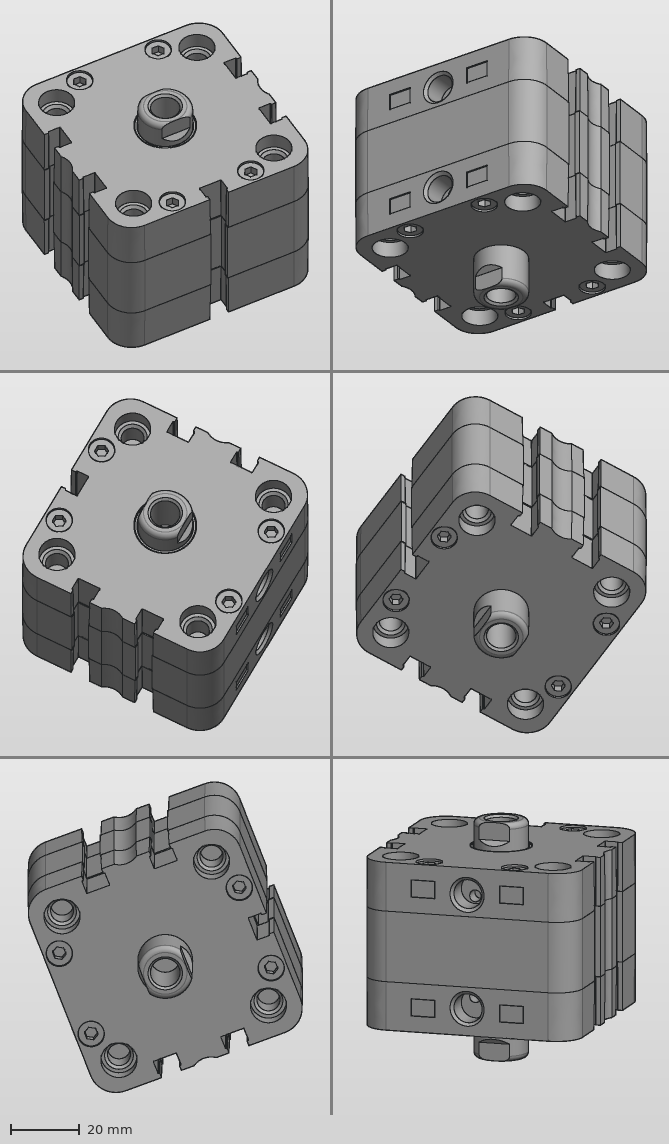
import cadquery as cq
import math


body_width = 65.5
body_length = 50.0
corner_radius = 8.0
cap_length = 14.5
cap_draft = 0.5
barrel_draft = 0.0
barrel_length = body_length - 2 * cap_length
bore_diameter = 50.0
half_width = body_width / 2

slot_offset = 10.5
lip_chamfer = 0.3
slot_overrun = 1.0
barrel_slot = {"opening": 5.5, "inner": 6.8, "depth": 5.1, "lip": 1.6}
cap_slot = {"opening": 5.9, "inner": 6.9, "depth": 5.45, "lip": 1.5}

scoop_half_width = 3.4
scoop_depth = 1.1
scoop_radius = (scoop_half_width ** 2 + scoop_depth ** 2) / (2 * scoop_depth)

mount_pitch = 46.5
mount_counterbore = 10.5
mount_counterbore_depth = 5.0
mount_chamfer_diameter = 8.38
mount_thread_diameter = 6.65
mount_hole_depth = 13.0

screw_pitch_x = 56.0
screw_pitch_y = 26.0
screw_hole_diameter = 7.7
screw_head_diameter = 7.5
screw_head_height = 4.0
screw_recess = 0.6
screw_hex_flats = 3.5
screw_hex_depth = 2.5

port_height = 8.0
port_chamfer_diameter = 10.5
port_diameter = 8.57
port_depth = 8.0
passage_diameter = 3.5
passage_height = 10.0
passage_depth = 5.0

label_width = 7.2
label_height = 5.1
label_depth = 0.5
label_offset = 13.5
label_centre_height = 7.3

rod_diameter = 16.0
rod_upper_overhang = 8.0
rod_lower_overhang = 13.0
rod_length = body_length + rod_upper_overhang + rod_lower_overhang
rod_edge_radius = 1.7
rod_flats = 13.0
rod_flat_length = 5.3
rod_thread_diameter = 8.57
rod_thread_chamfer_diameter = 10.0
rod_thread_depth = 16.0

seal_diameter = 18.0
seal_pocket_mouth = 18.3
seal_rim_diameter = 17.7
seal_lip_diameter = 16.54
seal_recess = 0.3
seal_length = 3.0


def chamfered_bore(mouth_diameter, diameter, depth):
    """Cutter that enters downwards at the origin: a 45 degree mouth, then a blind round hole."""
    mouth_depth = (mouth_diameter - diameter) / 2
    return (
        cq.Workplane("XZ")
        .moveTo(0, 0)
        .lineTo(mouth_diameter / 2, 0)
        .lineTo(diameter / 2, -mouth_depth)
        .lineTo(diameter / 2, -depth)
        .lineTo(0, -depth)
        .close()
        .revolve(360, (0, 0), (0, 1))
    )


def slot_cutter(slot, length, draft):
    """T-slot that opens towards -Y at Y = 0, runs along +Z and widens by the draft angle."""
    half_opening = slot["opening"] / 2
    half_inner = slot["inner"] / 2
    chamfer_end = slot["lip"] + lip_chamfer
    right_side = [
        (half_opening, 0),
        (half_opening, slot["lip"]),
        (half_opening + lip_chamfer, chamfer_end),
        (half_inner, chamfer_end),
        (half_inner, slot["depth"]),
    ]
    left_side = [(-x, y) for x, y in reversed(right_side)]
    outside = [(-half_opening, -slot_overrun), (half_opening, -slot_overrun)]
    profile = cq.Workplane("XY").polyline(right_side + left_side + outside).close()
    return profile.extrude(length, taper=-draft)


def side_grooves(slot, length, draft):
    """Every groove along the body: two slots and a scoop on +Y and -Y, one slot on +X."""
    slot_at_side = slot_cutter(slot, length, draft).translate((0, -half_width, 0))
    scoop = (
        cq.Workplane("XY")
        .center(0, -half_width + scoop_depth - scoop_radius)
        .circle(scoop_radius)
        .extrude(length, taper=-draft)
    )
    grooves = (
        slot_at_side.translate((slot_offset, 0, 0))
        .union(slot_at_side.translate((-slot_offset, 0, 0)))
        .union(scoop)
    )
    opposite = grooves.mirror("XZ")
    plus_x_slot = slot_at_side.rotate((0, 0, 0), (0, 0, 1), 90)
    return grooves.union(opposite).union(plus_x_slot)


def make_barrel():
    barrel = (
        cq.Workplane("XY")
        .rect(body_width, body_width)
        .extrude(barrel_length)
        .edges("|Z")
        .fillet(corner_radius)
        .cut(side_grooves(barrel_slot, barrel_length, barrel_draft))
    )
    bore = cq.Workplane("XY").circle(bore_diameter / 2).extrude(barrel_length)
    return barrel.cut(bore).translate((0, 0, cap_length))


def cap_blank():
    """Grooved block that tapers from the barrel joint at Z = 0 to its outer face at Z = cap_length."""
    outline = cq.Sketch().rect(body_width, body_width).vertices().fillet(corner_radius)
    block = cq.Workplane("XY").placeSketch(outline).extrude(cap_length, taper=cap_draft)
    return block.cut(side_grooves(cap_slot, cap_length, cap_draft))


def cut_mounting_holes(cap):
    counterbore = (
        cq.Workplane("XY").circle(mount_counterbore / 2).extrude(-mount_counterbore_depth)
    )
    thread = chamfered_bore(
        mount_chamfer_diameter, mount_thread_diameter, mount_hole_depth - mount_counterbore_depth
    ).translate((0, 0, -mount_counterbore_depth))
    hole = counterbore.union(thread)
    for x in (-mount_pitch / 2, mount_pitch / 2):
        for y in (-mount_pitch / 2, mount_pitch / 2):
            cap = cap.cut(hole.translate((x, y, cap_length)))
    return cap


def cut_screw_details(cap):
    """Sunk socket-head screws: a shallow recess, a thin gap around each head and a hex socket."""
    recess = cq.Workplane("XY").circle(screw_hole_diameter / 2).extrude(-screw_recess)
    gap = (
        cq.Workplane("XY", origin=(0, 0, -screw_recess))
        .circle(screw_hole_diameter / 2)
        .circle(screw_head_diameter / 2)
        .extrude(-screw_head_height)
    )
    hex_corners = screw_hex_flats / math.cos(math.radians(30))
    socket = (
        cq.Workplane("XY", origin=(0, 0, -screw_recess))
        .polygon(6, hex_corners)
        .extrude(-screw_hex_depth)
        .rotate((0, 0, 0), (0, 0, 1), 30)
    )
    for x in (-screw_pitch_x / 2, screw_pitch_x / 2):
        for y in (-screw_pitch_y / 2, screw_pitch_y / 2):
            for cutter in (recess, gap, socket):
                cap = cap.cut(cutter.translate((x, y, cap_length)))
    return cap


def cut_port(cap):
    """Threaded air port in the -X side, with a small passage in its floor nearer the barrel."""
    port = (
        chamfered_bore(port_chamfer_diameter, port_diameter, port_depth)
        .rotate((0, 0, 0), (0, 1, 0), -90)
        .translate((-half_width, 0, cap_length - port_height))
    )
    passage = (
        cq.Workplane("YZ", origin=(-half_width, 0, cap_length - passage_height))
        .circle(passage_diameter / 2)
        .extrude(port_depth + passage_depth)
    )
    return cap.cut(port).cut(passage)


def cut_labels(cap):
    """Shallow rectangular recesses on both sides of the port, cut parallel to the drafted face."""
    face_setback = (cap_length - label_centre_height) * math.tan(math.radians(cap_draft))
    for y in (-label_offset, label_offset):
        label = (
            cq.Workplane("XY")
            .box(2 * label_depth, label_width, label_height)
            .rotate((0, 0, 0), (0, 1, 0), cap_draft)
            .translate((-half_width + face_setback, y, cap_length - label_centre_height))
        )
        cap = cap.cut(label)
    return cap


def make_cap():
    """End cap with its barrel joint on Z = 0 and its outer face at Z = cap_length."""
    rod_bore = cq.Workplane("XY").circle(rod_diameter / 2).extrude(cap_length)
    cap = cap_blank().cut(rod_bore)
    cap = cut_mounting_holes(cap)
    cap = cut_screw_details(cap)
    cap = cut_port(cap)
    return cut_labels(cap)


def make_upper_cap():
    seal_pocket = chamfered_bore(
        seal_pocket_mouth, seal_diameter, seal_recess + seal_length
    ).translate((0, 0, cap_length))
    return make_cap().cut(seal_pocket).translate((0, 0, body_length - cap_length))


def make_lower_cap():
    return make_cap().mirror("XY").translate((0, 0, cap_length))


def make_rod():
    rod = (
        cq.Workplane("XY")
        .circle(rod_diameter / 2)
        .extrude(rod_length)
        .faces("<Z or >Z")
        .edges()
        .fillet(rod_edge_radius)
    )
    flat_depth = (rod_diameter - rod_flats) / 2
    flat_end = rod_length - rod_flat_length
    flat = (
        cq.Workplane("XZ")
        .moveTo(rod_flats / 2, rod_length)
        .lineTo(rod_flats / 2, flat_end)
        .lineTo(rod_diameter / 2, flat_end - flat_depth)
        .lineTo(rod_diameter / 2, rod_length)
        .close()
        .extrude(rod_diameter / 2, both=True)
    )
    thread = chamfered_bore(
        rod_thread_chamfer_diameter, rod_thread_diameter, rod_thread_depth
    ).translate((0, 0, rod_length))
    end_cutter = flat.union(flat.mirror("YZ")).union(thread)
    lower_end_cutter = end_cutter.mirror("XY").translate((0, 0, rod_length))
    return rod.cut(end_cutter).cut(lower_end_cutter).translate((0, 0, -rod_lower_overhang))


def make_seal():
    """Ring around the rod: chamfered outer rim, inner lip that opens conically upwards."""
    rim_chamfer = (seal_diameter - seal_rim_diameter) / 2
    lip_height = seal_lip_diameter - rod_diameter
    return (
        cq.Workplane("XZ")
        .moveTo(rod_diameter / 2, 0)
        .lineTo(seal_diameter / 2, 0)
        .lineTo(seal_diameter / 2, seal_length - rim_chamfer)
        .lineTo(seal_rim_diameter / 2, seal_length)
        .lineTo(seal_lip_diameter / 2, seal_length)
        .lineTo(rod_diameter / 2, seal_length - lip_height)
        .close()
        .revolve(360, (0, 0), (0, 1))
        .translate((0, 0, body_length - seal_recess - seal_length))
    )


barrel = make_barrel()
upper_cap = make_upper_cap()
lower_cap = make_lower_cap()
rod = make_rod()
seal = make_seal()

bodies = [barrel, upper_cap, lower_cap, rod, seal]
result = cq.Compound.makeCompound([body.solids().val() for body in bodies])